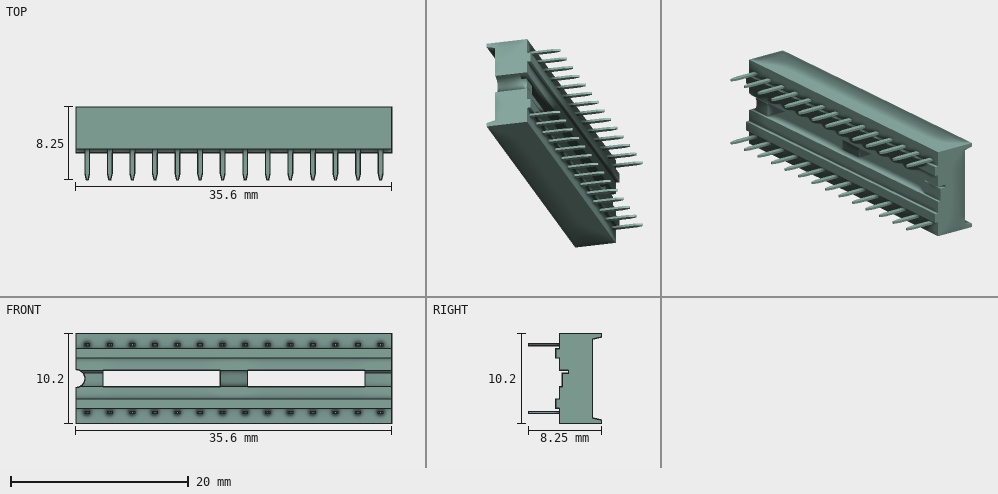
import cadquery as cq


PINS_PER_ROW = 14
PIN_PITCH = 2.54
ROW_SPACING = 7.62
PIN_LENGTH = 3.5
PIN_WIDTH = 0.55
PIN_THICKNESS = 0.25
PIN_TIP_WIDTH = 0.2
PIN_TIP_LENGTH = 0.75

BODY_LENGTH = PINS_PER_ROW * PIN_PITCH
BODY_HEIGHT = 10.16
BODY_DEPTH = 3.75
RAIL_GAP = 1.82

LIP_REACH = 1.0
LIP_ROOT_THICKNESS = 0.65
LIP_TIP_THICKNESS = 0.42

RIB_INNER = 2.3
RIB_OUTER = 3.37
RIB_PROJECTION = 0.42

END_BAR_WIDTH = 3.05
END_BAR_SETBACK = 0.32
MIDDLE_BAR_WIDTH = 3.1
STEP_BOTTOM = 0.6
STEP_SETBACK = 1.0

NOTCH_RADIUS = 1.0


def make_rail():
    """Upper rail: one YZ profile with its rib and lip, extruded along X."""
    inner = RAIL_GAP / 2
    outer = BODY_HEIGHT / 2
    lip_end = BODY_DEPTH + LIP_REACH
    profile = [
        (0, inner),
        (0, RIB_INNER),
        (-RIB_PROJECTION, RIB_INNER),
        (-RIB_PROJECTION, RIB_OUTER),
        (0, RIB_OUTER),
        (0, outer),
        (lip_end, outer),
        (lip_end, outer - LIP_TIP_THICKNESS),
        (BODY_DEPTH, outer - LIP_ROOT_THICKNESS),
        (BODY_DEPTH, inner),
    ]
    return cq.Workplane("YZ").polyline(profile).close().extrude(BODY_LENGTH / 2, both=True)


def make_bar(center_x, width, setback, bottom, top):
    """Block across the gap, from its setback to the back of the rails."""
    depth = BODY_DEPTH - setback
    block = cq.Workplane("XY").box(width, depth, top - bottom, centered=(True, False, False))
    return block.translate((center_x, setback, bottom))


def make_end_bar(side):
    """End bar whose front steps back next to the upper rail."""
    center_x = side * (BODY_LENGTH - END_BAR_WIDTH) / 2
    front = make_bar(center_x, END_BAR_WIDTH, END_BAR_SETBACK, -RAIL_GAP / 2, STEP_BOTTOM)
    step = make_bar(center_x, END_BAR_WIDTH, STEP_SETBACK, STEP_BOTTOM, RAIL_GAP / 2)
    return front.union(step)


def make_notch():
    """Cylinder along Y, centred on the -X end face."""
    circle = cq.Workplane("XZ").center(-BODY_LENGTH / 2, 0).circle(NOTCH_RADIUS)
    return circle.extrude(-BODY_DEPTH)


def make_pin(x, z):
    """Flat pin standing on the rail front, tapered in width at its tip."""
    shoulder = -(PIN_LENGTH - PIN_TIP_LENGTH)
    outline = [
        (-PIN_WIDTH / 2, 0),
        (-PIN_WIDTH / 2, shoulder),
        (-PIN_TIP_WIDTH / 2, -PIN_LENGTH),
        (PIN_TIP_WIDTH / 2, -PIN_LENGTH),
        (PIN_WIDTH / 2, shoulder),
        (PIN_WIDTH / 2, 0),
    ]
    pin = cq.Workplane("XY").polyline(outline).close().extrude(PIN_THICKNESS / 2, both=True)
    return pin.translate((x, 0, z))


upper_rail = make_rail()
body = upper_rail.union(upper_rail.mirror("XY"))
for end_side in (-1, 1):
    body = body.union(make_end_bar(end_side))
body = body.union(make_bar(0, MIDDLE_BAR_WIDTH, STEP_SETBACK, -RAIL_GAP / 2, RAIL_GAP / 2))
body = body.cut(make_notch())

for row_side in (-1, 1):
    for index in range(PINS_PER_ROW):
        pin_x = (index - (PINS_PER_ROW - 1) / 2) * PIN_PITCH
        body = body.union(make_pin(pin_x, row_side * ROW_SPACING / 2))

result = body